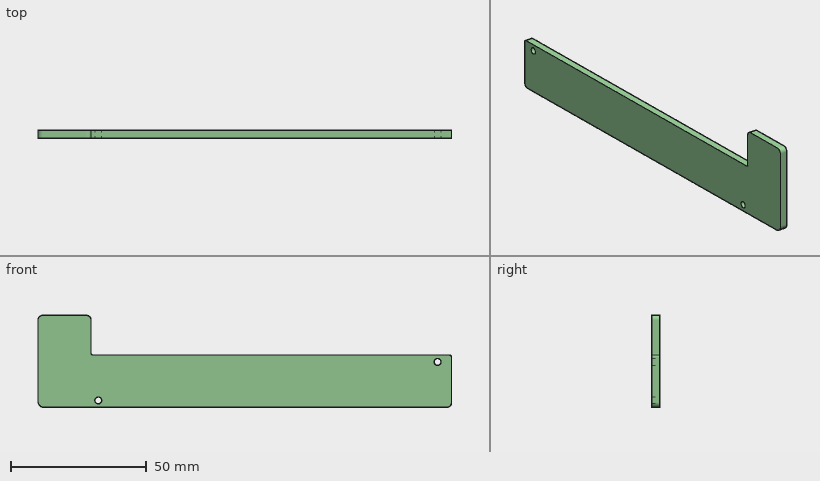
import cadquery as cq

length = 152.5
thickness = 3.0
height = 34.0

arm_height = 19.4
tab_width = 19.7

corner_radius = 1.8
heel_radius = 2.3
arm_top_radius = 0.9
inner_radius = 0.5

hole_diameter = 2.5
lower_hole = (22.3, 2.6)
upper_hole = (147.3, 16.8)


def make_plate():
    """L-shaped plate in the XZ plane, front face at Y = 0."""
    outline = [
        (0, 0),
        (length, 0),
        (length, arm_height),
        (tab_width, arm_height),
        (tab_width, height),
        (0, height),
    ]
    return cq.Workplane("XZ").polyline(outline).close().extrude(-thickness)


def round_corner(plate, x, z, radius):
    """Fillet the thickness-direction edge nearest to the corner (x, z)."""
    corner = cq.selectors.NearestToPointSelector((x, thickness / 2, z))
    return plate.edges("|Y").edges(corner).fillet(radius)


def drill_holes(plate):
    """Cut the two small holes through the full thickness."""
    drills = (
        cq.Workplane("XZ")
        .pushPoints([lower_hole, upper_hole])
        .circle(hole_diameter / 2)
        .extrude(-thickness)
    )
    return plate.cut(drills)


plate = make_plate()
plate = round_corner(plate, 0, 0, heel_radius)
for x, z in [(length, 0), (0, height), (tab_width, height)]:
    plate = round_corner(plate, x, z, corner_radius)
plate = round_corner(plate, length, arm_height, arm_top_radius)
plate = round_corner(plate, tab_width, arm_height, inner_radius)

result = drill_holes(plate)